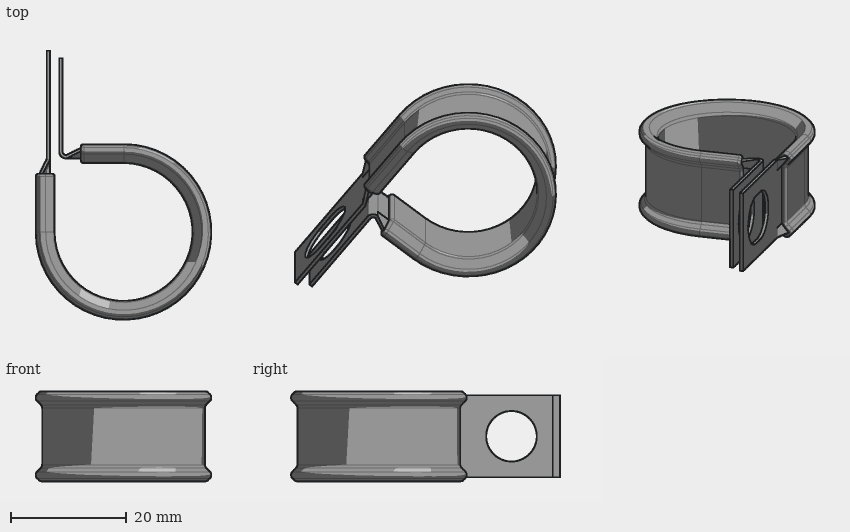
import cadquery as cq
import math

inner_radius = 11.9
web_radius = 14.1
rim_radius = 15.21
cushion_width = 15.65
rim_bulge_height = 6.68
section_round = 0.8
flank_angle = math.radians(45)
end_round = 0.5

ring_angle = 270
side_arm_length = 10.1
top_arm_length = 7.4

strap_thickness = 0.63
strap_half_width = 7.1
strap_radius = (inner_radius + web_radius) / 2
strap_embed = 1.0
side_tab_end = 31.34
top_tab_end = 30.07
top_tab_x = -10.83
bend_inner_radius = 0.6

flare_length = 2.5
flare_root_height = 5.25
flare_outer_tip = (14.55, 6.8)
flare_inner_tip = (13.97, 7.2)

bolt_diameter = 8.7
bolt_slot_length = 11.1
bolt_y = 22.94

half_thickness = strap_thickness / 2
strap_inside = strap_radius - half_thickness
strap_outside = strap_radius + half_thickness

side_arm_direction = cq.Vector(0, 1, 0)
side_arm_outward = cq.Vector(-1, 0, 0)
top_arm_direction = cq.Vector(-1, 0, 0)
top_arm_outward = cq.Vector(0, 1, 0)


def section_plane(direction, outward, distance=0):
    return cq.Workplane(cq.Plane(direction * distance, outward, direction))


def cushion_section(plane):
    """Closed cushion section: flat bore, 45 degree flanks, rounded rims, flat web."""
    leg = section_round * math.sin(flank_angle)
    sag = section_round * (1 - math.cos(flank_angle))
    half_leg = section_round * math.sin(flank_angle / 2)
    half_sag = section_round * (1 - math.cos(flank_angle / 2))

    bulge_r = rim_radius - section_round
    crest_z = cushion_width / 2 - section_round
    crest_r = bulge_r - (crest_z - rim_bulge_height)
    bore_top_z = crest_z - (crest_r - leg - inner_radius - sag)
    web_top_z = rim_bulge_height - 2 * leg - (bulge_r + leg - web_radius - sag)

    return (
        plane.moveTo(inner_radius, 0)
        .lineTo(inner_radius, bore_top_z)
        .threePointArc(
            (inner_radius + half_sag, bore_top_z + half_leg),
            (inner_radius + sag, bore_top_z + leg),
        )
        .lineTo(crest_r - leg, crest_z + leg)
        .threePointArc((crest_r, cushion_width / 2), (crest_r + leg, crest_z + leg))
        .lineTo(bulge_r + leg, rim_bulge_height + leg)
        .threePointArc((rim_radius, rim_bulge_height), (bulge_r + leg, rim_bulge_height - leg))
        .lineTo(web_radius + sag, web_top_z + leg)
        .threePointArc((web_radius + half_sag, web_top_z + half_leg), (web_radius, web_top_z))
        .lineTo(web_radius, 0)
        .mirrorX()
    )


def cushion_ring():
    plane = section_plane(side_arm_direction, side_arm_outward)
    return cushion_section(plane).revolve(ring_angle, (0, 0), (0, 1))


def cushion_arm(direction, outward, length, end_face):
    arm = cushion_section(section_plane(direction, outward)).extrude(length).clean()
    return arm.faces(end_face).edges().fillet(end_round)


def strap_flare(direction, outward, arm_length, side):
    """Strap corner on one edge (side = +1 or -1) that flares outward into the arm rim."""
    flat_end = [
        (strap_inside, side * flare_root_height),
        (strap_outside, side * flare_root_height),
        (strap_outside, side * strap_half_width),
        (strap_inside, side * strap_half_width),
    ]
    flared_end = [
        (strap_inside, side * flare_root_height),
        (strap_outside, side * flare_root_height),
        (flare_outer_tip[0], side * flare_outer_tip[1]),
        (flare_inner_tip[0], side * flare_inner_tip[1]),
    ]
    return (
        section_plane(direction, outward, arm_length)
        .polyline(flared_end).close()
        .workplane(offset=flare_length)
        .polyline(flat_end).close()
        .loft(ruled=True)
    )


def strap_neck(direction, outward, arm_length):
    """Narrow strap between tab and arm, with the flared corner on each edge."""
    neck = (
        section_plane(direction, outward, arm_length - strap_embed)
        .center(strap_radius, 0)
        .rect(strap_thickness, 2 * flare_root_height)
        .extrude(strap_embed + flare_length)
    )
    for side in (1, -1):
        neck = neck.union(strap_flare(direction, outward, arm_length, side))
    return neck


def side_tab():
    start_y = side_arm_length + flare_length
    tab = cq.Workplane("XY").box(
        strap_thickness, side_tab_end - start_y, 2 * strap_half_width
    ).translate((-strap_radius, (start_y + side_tab_end) / 2, 0))
    slot = (
        cq.Workplane("YZ", origin=(-strap_radius, bolt_y, 0))
        .slot2D(bolt_slot_length, bolt_diameter)
        .extrude(strap_thickness, both=True)
    )
    return tab.cut(slot)


def top_tab():
    """Tab that bends 90 degrees from the top arm direction to +Y."""
    bend_outer_radius = bend_inner_radius + strap_thickness
    left_x = top_tab_x - half_thickness
    right_x = top_tab_x + half_thickness
    start_x = -top_arm_length - flare_length
    bend_x = left_x + bend_outer_radius
    bend_y = strap_inside + bend_outer_radius
    diagonal = math.sqrt(0.5)
    tab = (
        cq.Workplane("XY", origin=(0, 0, -strap_half_width))
        .moveTo(start_x, strap_inside)
        .lineTo(bend_x, strap_inside)
        .threePointArc(
            (bend_x - bend_outer_radius * diagonal, bend_y - bend_outer_radius * diagonal),
            (left_x, bend_y),
        )
        .lineTo(left_x, top_tab_end)
        .lineTo(right_x, top_tab_end)
        .lineTo(right_x, bend_y)
        .threePointArc(
            (bend_x - bend_inner_radius * diagonal, bend_y - bend_inner_radius * diagonal),
            (bend_x, strap_outside),
        )
        .lineTo(start_x, strap_outside)
        .close()
        .extrude(2 * strap_half_width)
    )
    hole = (
        cq.Workplane("YZ", origin=(top_tab_x, bolt_y, 0))
        .circle(bolt_diameter / 2)
        .extrude(strap_thickness, both=True)
    )
    return tab.cut(hole)


cushion = (
    cushion_ring()
    .union(cushion_arm(side_arm_direction, side_arm_outward, side_arm_length, ">Y"))
    .union(cushion_arm(top_arm_direction, top_arm_outward, top_arm_length, "<X"))
)

result = (
    cushion
    .union(strap_neck(side_arm_direction, side_arm_outward, side_arm_length))
    .union(strap_neck(top_arm_direction, top_arm_outward, top_arm_length))
    .union(side_tab())
    .union(top_tab())
)